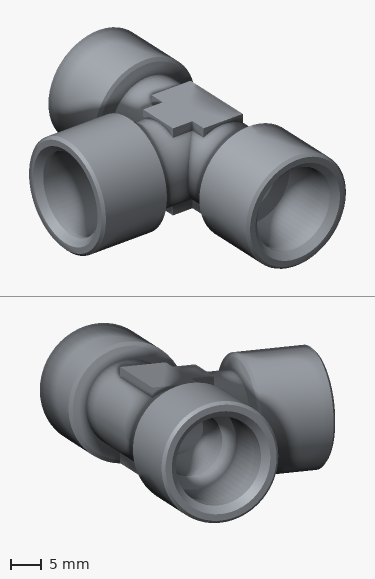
import cadquery as cq
import math

arm_length = 27.0
neck_diameter = 15.0
passage_diameter = 11.0

socket_diameter = 20.5
socket_length = 13.9
end_chamfer = 0.5
shoulder_chamfer_length = 0.35
shoulder_chamfer_depth = 0.65
shoulder_angle = 15.0

bore_diameter = 14.95
bore_depth = 12.0
bore_cone_length = 1.2
mouth_diameter = 17.3
mouth_depth = (mouth_diameter - bore_diameter) / 2

flat_to_flat = 16.2
flat_width = 14.0
flat_half_depth = 4.0
flat_stem_width = 8.0
flat_stem_reach = 8.0

arm_angles = (0, 180, -90)


def revolve_about_x(profile):
    """Revolve a closed (axial, radial) profile about the X axis."""
    return cq.Workplane("XY").polyline(profile).close().revolve(360, (0, 0, 0), (1, 0, 0))


def arm_body():
    """Neck and socket of one arm along +X, without its bore."""
    neck_radius = neck_diameter / 2
    socket_radius = socket_diameter / 2
    socket_start = arm_length - socket_length
    shoulder_radius = socket_radius - shoulder_chamfer_depth
    shoulder_rise = shoulder_radius - neck_radius
    shoulder_end = socket_start + shoulder_rise * math.tan(math.radians(shoulder_angle))
    return revolve_about_x([
        (0, 0),
        (0, neck_radius),
        (socket_start, neck_radius),
        (shoulder_end, shoulder_radius),
        (shoulder_end + shoulder_chamfer_length, socket_radius),
        (arm_length - end_chamfer, socket_radius),
        (arm_length, socket_radius - end_chamfer),
        (arm_length, 0),
    ])


def arm_bore():
    """Passage, socket bore and lead-in chamfer of one arm along +X."""
    passage_radius = passage_diameter / 2
    bore_radius = bore_diameter / 2
    bore_bottom = arm_length - bore_depth
    return revolve_about_x([
        (0, 0),
        (0, passage_radius),
        (bore_bottom - bore_cone_length, passage_radius),
        (bore_bottom, bore_radius),
        (arm_length - mouth_depth, bore_radius),
        (arm_length, mouth_diameter / 2),
        (arm_length, 0),
    ])


def centre_flats():
    """T-shaped block whose top and bottom faces form the flats."""
    bar = cq.Workplane("XY").box(flat_width, 2 * flat_half_depth, flat_to_flat)
    stem = (
        cq.Workplane("XY")
        .center(0, -flat_stem_reach / 2)
        .box(flat_stem_width, flat_stem_reach, flat_to_flat)
    )
    return bar.union(stem)


def all_arms(make_arm):
    """Place one arm in each of the three directions and join them."""
    arms = cq.Workplane("XY")
    for angle in arm_angles:
        arms = arms.union(make_arm().rotate((0, 0, 0), (0, 0, 1), angle))
    return arms


result = all_arms(arm_body).union(centre_flats()).cut(all_arms(arm_bore))